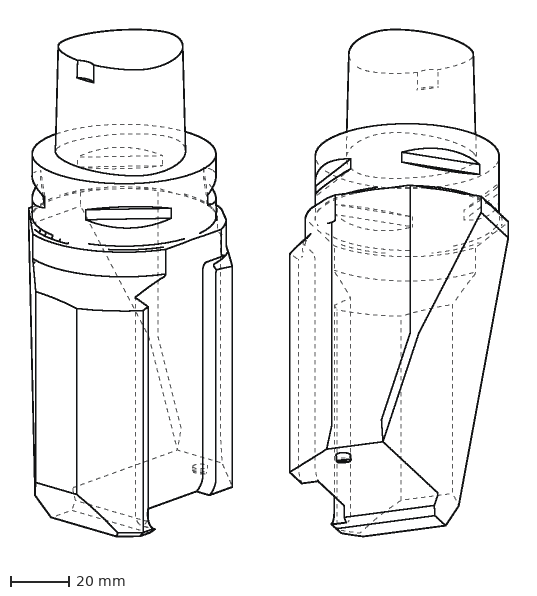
import cadquery as cq
import math

shank_height = 38.0
shank_base_radius = 22.3
shank_taper = 1 / 40
shank_lobe = 1.5
shank_flank_half_angle = 22.5
shank_edge_spans = 8
key_diameter = 12.5
key_depth = 1.4
key_height = 6.3

flange_radius = 63.0 / 2
ledge_z = -23.6
fillet_radius = 1.0
foot_z = ledge_z + fillet_radius
grip_z = -12.2
grip_flat_distance = 27.9
grip_flat_height = 3.6
grip_flank_angle = 30.0

flat_distance = 32.0
plan_corner_angle = 45.0
body_right = 38.0
body_front = -46.0
back_edge_x = 15.6
right_edge_y = 13.2
body_round_radius = 50.0

neck_radius = 35.0
neck_z = -33.5
shoulder_angle = 24.0
bottom_z = -122.0
seat_z = -115.2
round_chamfer = 2.0

slope_top_z = -29.5
slope_bottom_x = 0.0
back_taper_z = -108.0
back_taper_y = 29.8
front_bevel_z = -107.0
lip_outer_y = -37.4
lip_inner_y = -24.0
lip_bevel_y = 2.9
lip_bevel_z = 2.6
seat_fillet = 0.8

pocket_x = 32.0
pocket_back_y = 4.8
pocket_front_y = -29.9
pocket_open_back_y = 1.45
pocket_open_front_y = -25.6
pocket_edge_round = 2.0
pocket_corner_radius = 6.0
lip_opening_z = -120.7

pin_diameter = 5.0
pin_x = 15.0
pin_y = 22.2
pin_tilt = 15.0
pin_protrusion = 2.3
pin_buried = 5.0
pin_chamfer = 0.5

stock_width = 200.0
margin = 20.0
arc_sagitta_ratio = 1 - math.sqrt(0.5)
shoulder_slope = math.tan(math.radians(shoulder_angle))
slope_drop = (bottom_z - slope_top_z) / (slope_bottom_x + flat_distance)


def shank_edge(z, start, end):
    """Stretch of the three-lobed outline at height z between two normal angles (0 = +Y)."""
    radius = shank_base_radius - shank_taper * z
    angles = [
        math.radians(start + (end - start) * i / shank_edge_spans) for i in range(shank_edge_spans + 1)
    ]
    points = []
    for a in angles:
        along = radius * math.cos(a) + 2 * shank_lobe * math.cos(2 * a) - shank_lobe * math.cos(4 * a)
        across = radius * math.sin(a) - 2 * shank_lobe * math.sin(2 * a) - shank_lobe * math.sin(4 * a)
        points.append(cq.Vector(-across, along, z))
    tangents = [cq.Vector(-math.cos(a), -math.sin(a), 0) for a in (angles[0], angles[-1])]
    return cq.Edge.makeSpline(points, tangents=tangents)


def shank_section(z):
    """Constant-width outline at height z: three lobes, one towards +Y, and three flanks."""
    lobe_half_angle = 60 - shank_flank_half_angle
    edges = []
    for lobe in (0, 120, 240):
        edges.append(shank_edge(z, lobe - lobe_half_angle, lobe + lobe_half_angle))
        edges.append(shank_edge(z, lobe + lobe_half_angle, lobe + 120 - lobe_half_angle))
    return cq.Wire.assembleEdges(edges)


def make_shank():
    shank = cq.Workplane(cq.Solid.makeLoft([shank_section(0), shank_section(shank_height)], True))
    flat_y = -(shank_base_radius - shank_taper * shank_height - shank_lobe)
    key_center_y = flat_y + key_depth - key_diameter / 2
    key = (
        cq.Workplane("XY", origin=(0, key_center_y, shank_height - key_height))
        .circle(key_diameter / 2)
        .extrude(key_height + margin)
    )
    return shank.cut(key)


def make_flange():
    """Flange disc with four gripper grooves at 45 degrees to the axes."""
    flange = cq.Workplane("XY").circle(flange_radius).extrude(foot_z)
    outer_distance = flange_radius + margin
    flank_rise = (outer_distance - grip_flat_distance) * math.tan(math.radians(grip_flank_angle))
    floor_half = grip_flat_height / 2
    groove = (
        cq.Workplane("XZ")
        .polyline([
            (grip_flat_distance, grip_z - floor_half),
            (outer_distance, grip_z - floor_half - flank_rise),
            (outer_distance, grip_z + floor_half + flank_rise),
            (grip_flat_distance, grip_z + floor_half),
        ])
        .close()
        .extrude(flange_radius, both=True)
    )
    for angle in (45, 135, 225, 315):
        flange = flange.cut(groove.rotate((0, 0, 0), (0, 0, 1), angle))
    return flange


def plan_prism():
    """Seven-sided plan of the tool body over its full height."""
    tangent_corner = flat_distance * math.tan(math.radians(plan_corner_angle / 2))
    front_corner_x = -flat_distance * math.sqrt(2) - body_front
    return (
        cq.Workplane("XY", origin=(0, 0, bottom_z))
        .polyline([
            (-tangent_corner, flat_distance),
            (back_edge_x, flat_distance),
            (body_right, right_edge_y),
            (body_right, body_front),
            (front_corner_x, body_front),
            (-flat_distance, -tangent_corner),
            (-flat_distance, tangent_corner),
        ])
        .close()
        .extrude(foot_z - bottom_z)
    )


def turned_envelope():
    """Flange foot, neck, conical shoulder and outer round about the Z axis."""
    arc_middle = fillet_radius * arc_sagitta_ratio
    shoulder_end_z = neck_z - shoulder_slope * (body_round_radius - neck_radius - fillet_radius)
    return (
        cq.Workplane("XZ")
        .moveTo(0, foot_z)
        .lineTo(flange_radius, foot_z)
        .threePointArc(
            (flange_radius + arc_middle, ledge_z + arc_middle),
            (flange_radius + fillet_radius, ledge_z),
        )
        .lineTo(neck_radius, ledge_z)
        .lineTo(neck_radius, neck_z + fillet_radius)
        .threePointArc(
            (neck_radius + arc_middle, neck_z + arc_middle),
            (neck_radius + fillet_radius, neck_z),
        )
        .lineTo(body_round_radius, shoulder_end_z)
        .lineTo(body_round_radius, bottom_z + round_chamfer)
        .lineTo(body_round_radius - round_chamfer, bottom_z)
        .lineTo(0, bottom_z)
        .close()
        .revolve(360, (0, 0, 0), (0, 1, 0))
    )


def sloped_envelope():
    """Side profile in XZ: long sloping -X face and bevelled bottom edge at +X."""
    return (
        cq.Workplane("XZ")
        .polyline([
            (-flat_distance, foot_z),
            (-flat_distance, slope_top_z),
            (slope_bottom_x, bottom_z),
            (body_right - round_chamfer, bottom_z),
            (body_right, bottom_z + round_chamfer),
            (body_right, foot_z),
        ])
        .close()
        .extrude(body_round_radius, both=True)
    )


def seat_envelope():
    """Profile in YZ: bottom seat, hooked lip, front bevel and tapered back."""
    return (
        cq.Workplane("YZ")
        .polyline([
            (flat_distance, foot_z),
            (flat_distance, back_taper_z),
            (back_taper_y, seat_z),
            (lip_inner_y, seat_z),
            (lip_inner_y, bottom_z + lip_bevel_z),
            (lip_inner_y - lip_bevel_y, bottom_z),
            (lip_outer_y, bottom_z),
            (body_front, front_bevel_z),
            (body_front, foot_z),
        ])
        .close()
        .extrude(body_round_radius, both=True)
        .edges(cq.selectors.NearestToPointSelector((0, lip_inner_y, seat_z)))
        .fillet(seat_fillet)
    )


def back_corner_cutter():
    """Bevel between the sloping face and the back face, starting below the 45 degree face."""
    corner_x = back_taper_y - flat_distance * math.sqrt(2)
    corner_z = slope_top_z + slope_drop * (corner_x + flat_distance)
    plane = cq.Plane(
        origin=(corner_x, back_taper_y, corner_z),
        xDir=(1, 1, 0),
        normal=(slope_drop, -slope_drop, -1),
    )
    return cq.Workplane(plane).rect(stock_width, stock_width).extrude(margin)


def pocket_cutter():
    """Relief beside the neck and the vertical pocket below it, both open to +X."""
    depth = body_right - pocket_x + margin
    relief = (
        cq.Workplane("YZ", origin=(pocket_x, 0, 0))
        .rect(stock_width, -2 * neck_z)
        .extrude(depth)
    )

    def corner_arc(wall_y, open_y, open_z, side):
        """Start, middle and end of a corner round leaving the wall and running out at open_y."""
        center_y = wall_y - side * pocket_corner_radius
        end_angle = math.acos(side * (open_y - center_y) / pocket_corner_radius)
        center_z = open_z + pocket_corner_radius * math.sin(end_angle)
        return [
            (
                center_y + side * pocket_corner_radius * math.cos(a),
                center_z - pocket_corner_radius * math.sin(a),
            )
            for a in (0, end_angle / 2, end_angle)
        ]

    back_start, back_mid, back_end = corner_arc(pocket_back_y, pocket_open_back_y, seat_z, 1)
    front_start, front_mid, front_end = corner_arc(
        pocket_front_y, pocket_open_front_y, lip_opening_z, -1
    )
    arc_middle = pocket_edge_round * arc_sagitta_ratio
    pocket = (
        cq.Workplane("YZ", origin=(pocket_x, 0, 0))
        .moveTo(pocket_back_y + pocket_edge_round, neck_z)
        .threePointArc(
            (pocket_back_y + arc_middle, neck_z - arc_middle),
            (pocket_back_y, neck_z - pocket_edge_round),
        )
        .lineTo(*back_start)
        .threePointArc(back_mid, back_end)
        .lineTo(pocket_open_back_y, bottom_z - margin)
        .lineTo(pocket_open_front_y, bottom_z - margin)
        .lineTo(*front_end)
        .threePointArc(front_mid, front_start)
        .lineTo(pocket_front_y, neck_z)
        .close()
        .extrude(depth)
    )
    return relief.union(pocket)


def make_pin():
    """Short chamfered pin on the seat, leaning towards -Y as it goes down."""
    tilt = math.radians(pin_tilt)
    plane = cq.Plane(
        origin=(pin_x, pin_y, seat_z),
        xDir=(1, 0, 0),
        normal=(0, -math.sin(tilt), -math.cos(tilt)),
    )
    return (
        cq.Workplane(plane)
        .workplane(offset=-pin_buried)
        .circle(pin_diameter / 2)
        .extrude(pin_buried + pin_protrusion)
        .faces("<Z")
        .chamfer(pin_chamfer)
    )


def make_body():
    body = plan_prism().intersect(turned_envelope()).intersect(sloped_envelope())
    body = body.intersect(seat_envelope())
    return body.cut(back_corner_cutter()).cut(pocket_cutter()).union(make_pin())


result = make_body().union(make_flange()).union(make_shank())